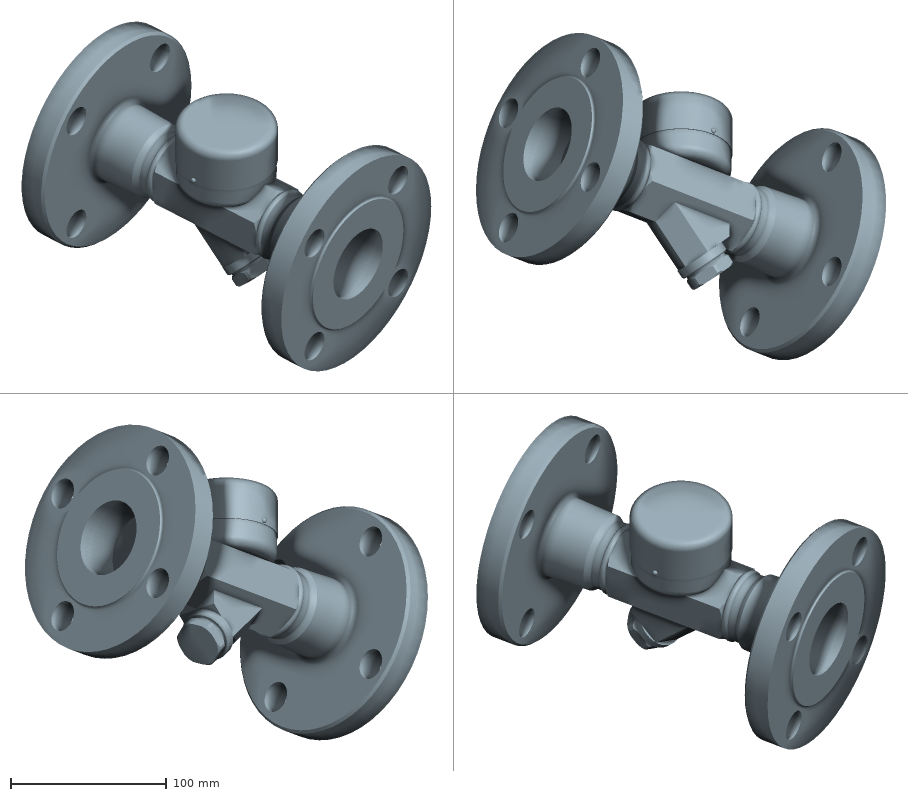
import cadquery as cq
import math

overall_length = 220.0
end_x = overall_length / 2

flange_diameter = 152.0
flange_thickness = 18.0
flange_edge_chamfer = 1.8
raised_face_diameter = 91.7
raised_face_height = 1.5
bolt_hole_diameter = 20.0
bolt_hole_pitch = 84.7
bore_diameter = 50.0
bore_depth = 30.0

neck_root_fillet = 3.5
neck_root_diameter = 54.0
neck_tip_diameter = 51.7
neck_tip_x = 57.6
groove_diameter = 46.0
groove_outer_x = 53.7
groove_inner_x = 48.0
weld_bead_rise = 1.3

body_length = 86.7
body_across_flats = 45.0
body_chamfer_length = 1.87
body_chamfer_diameter = 47.0

cap_diameter = 66.5
cap_top_z = 61.4
cap_bottom_z = 31.7
cap_top_fillet = 5.5
seat_diameter = 65.0
seat_bottom_z = 13.9
seat_fillet = 6.2
pip_radius = 1.8
pip_z = 33.9

branch_width = 30.8
branch_right_x = 27.7
branch_end = 38.3
branch_low_side = 33.2
branch_wedge_angle = 60
collar_diameter = 34.0
collar_length = 6.4
collar_chamfer = 0.9
plug_axis_offset = 16.7
plug_neck_diameter = 29.0
plug_neck_length = 1.8
plug_head_length = 8.0
plug_head_across_flats = 29.0
plug_head_corner_diameter = 32.3
plug_head_chamfer = 1.3

hexagon_corner_turn = 30
body_half_length = body_length / 2


def hexagon_across_corners(across_flats):
    return across_flats / math.cos(math.radians(hexagon_corner_turn))


body_across_corners = hexagon_across_corners(body_across_flats)


def flanged_end():
    """Flange, tapered neck, groove and weld bead on the -X side."""
    flange_front_x = -end_x + raised_face_height
    flange_back_x = flange_front_x + flange_thickness
    flange_r = flange_diameter / 2
    face_r = raised_face_diameter / 2
    neck_root_r = neck_root_diameter / 2
    groove_r = groove_diameter / 2
    fillet_reach = neck_root_fillet * math.sqrt(0.5)
    fillet_x = flange_back_x + neck_root_fillet
    fillet_r = neck_root_r + neck_root_fillet
    face_fillet_reach = raised_face_height * math.sqrt(0.5)
    bead_middle_x = -(groove_inner_x + body_half_length) / 2
    profile = (
        cq.Workplane("XY")
        .moveTo(-end_x, 0)
        .lineTo(-end_x, face_r)
        .threePointArc(
            (-end_x + face_fillet_reach, face_r + raised_face_height - face_fillet_reach),
            (flange_front_x, face_r + raised_face_height),
        )
        .lineTo(flange_front_x, flange_r)
        .lineTo(flange_back_x - flange_edge_chamfer, flange_r)
        .lineTo(flange_back_x, flange_r - flange_edge_chamfer)
        .lineTo(flange_back_x, fillet_r)
        .threePointArc((fillet_x - fillet_reach, fillet_r - fillet_reach), (fillet_x, neck_root_r))
        .lineTo(-neck_tip_x, neck_tip_diameter / 2)
        .lineTo(-groove_outer_x, groove_r)
        .lineTo(-groove_inner_x, groove_r)
        .threePointArc((bead_middle_x, groove_r + weld_bead_rise), (-body_half_length, groove_r))
        .lineTo(-body_half_length, 0)
        .close()
    )
    end = profile.revolve(360, (0, 0, 0), (1, 0, 0))
    bolt_holes = (
        cq.Workplane("YZ", origin=(-end_x, 0, 0))
        .rect(bolt_hole_pitch, bolt_hole_pitch, forConstruction=True)
        .vertices()
        .circle(bolt_hole_diameter / 2)
        .extrude(end_x)
    )
    bore = cq.Workplane("YZ", origin=(-end_x, 0, 0)).circle(bore_diameter / 2).extrude(bore_depth)
    return end.cut(bolt_holes).cut(bore)


def hexagonal_body():
    """Hexagonal bar along X, corners up and down, its ends turned to a cone."""
    bar = (
        cq.Workplane("YZ", origin=(-body_half_length, 0, 0))
        .polygon(6, body_across_corners)
        .extrude(body_length)
        .rotate((0, 0, 0), (1, 0, 0), hexagon_corner_turn)
    )
    corner_r = body_across_corners / 2
    end_r = body_chamfer_diameter / 2
    shoulder_x = body_half_length - body_chamfer_length
    envelope = (
        cq.Workplane("XY")
        .polyline([
            (-body_half_length, 0),
            (-body_half_length, end_r),
            (-shoulder_x, corner_r),
            (shoulder_x, corner_r),
            (body_half_length, end_r),
            (body_half_length, 0),
        ])
        .close()
        .revolve(360, (0, 0, 0), (1, 0, 0))
    )
    return bar.intersect(envelope)


def cap():
    """Rounded cap on its slightly smaller seat, with a pip on the front and back."""
    cover = (
        cq.Workplane("XY", origin=(0, 0, cap_bottom_z))
        .circle(cap_diameter / 2)
        .extrude(cap_top_z - cap_bottom_z)
        .faces(">Z").edges().fillet(cap_top_fillet)
    )
    seat = (
        cq.Workplane("XY", origin=(0, 0, seat_bottom_z))
        .circle(seat_diameter / 2)
        .extrude(cap_bottom_z - seat_bottom_z)
        .faces("<Z").edges().fillet(seat_fillet)
    )
    solid = cover.union(seat)
    for side in (-1, 1):
        pip = cq.Workplane("XY").sphere(pip_radius).translate((0, side * cap_diameter / 2, pip_z))
        solid = solid.union(pip)
    return solid


def sloped_plane(along, across):
    """Plane facing down the branch: local x runs up towards +X, local y along Y."""
    diagonal = math.sqrt(0.5)
    origin = (diagonal * (along - across), 0, -diagonal * (along + across))
    return cq.Plane(origin=origin, xDir=(1, 0, 1), normal=(1, 0, -1))


def branch():
    """Strainer branch with a wedge-shaped lower side."""
    half_width = branch_width / 2
    wedge_depth = half_width / math.tan(math.radians(branch_wedge_angle))
    high_side = branch_low_side
    bar = (
        cq.Workplane(sloped_plane(0, 0))
        .polyline([
            (-branch_low_side, 0),
            (wedge_depth - branch_low_side, half_width),
            (high_side, half_width),
            (high_side, -half_width),
            (wedge_depth - branch_low_side, -half_width),
        ])
        .close()
        .extrude(branch_end)
    )
    limit = (
        cq.Workplane("XY")
        .box(overall_length, branch_width, overall_length, centered=(False, True, False))
        .translate((branch_right_x - overall_length, 0, -overall_length))
    )
    return bar.intersect(limit)


def plug():
    """Collar, short neck and hexagonal head with rounded corners, along the branch."""
    collar = (
        cq.Workplane(sloped_plane(branch_end, plug_axis_offset))
        .circle(collar_diameter / 2)
        .extrude(collar_length)
        .faces(">(1,0,-1)").edges().chamfer(collar_chamfer)
    )
    head_start = branch_end + collar_length + plug_neck_length
    neck = (
        cq.Workplane(sloped_plane(branch_end, plug_axis_offset))
        .circle(plug_neck_diameter / 2)
        .extrude(collar_length + plug_neck_length)
    )
    corners = hexagon_across_corners(plug_head_across_flats)
    head_plane = sloped_plane(head_start, plug_axis_offset)
    head = cq.Workplane(head_plane).polygon(6, corners).extrude(plug_head_length)
    envelope = (
        cq.Workplane(head_plane)
        .circle(plug_head_corner_diameter / 2)
        .extrude(plug_head_length)
        .edges().chamfer(plug_head_chamfer)
    )
    return collar.union(neck).union(head.intersect(envelope))


left_end = flanged_end()
right_end = left_end.mirror("YZ")
result = hexagonal_body()
for piece in (left_end, right_end, cap(), branch(), plug()):
    result = result.union(piece)